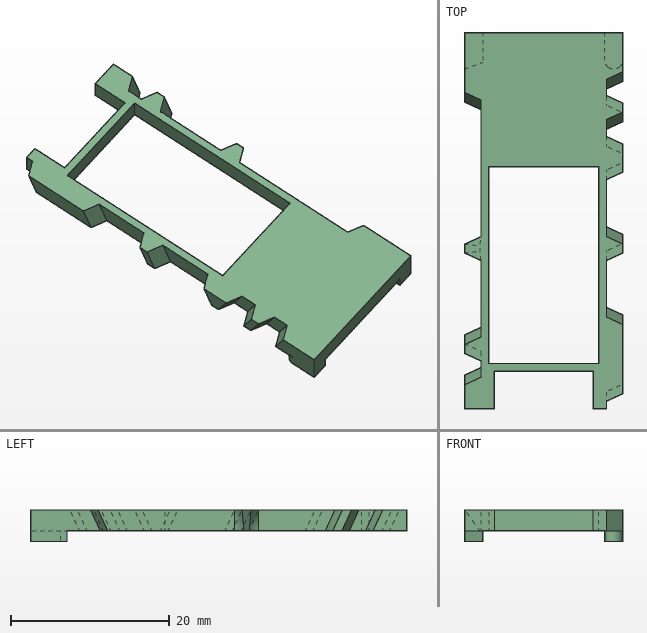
import cadquery as cq

width = 20.0
length = 47.6
height = 4.05
foot_height = 1.4
frame_height = height - foot_height

tooth_depth = 2.05
rail_wall = 1.0
window_low = 5.75
window_high = 30.6
notch_left = 3.75
notch_width = width - 2 * notch_left
notch_depth = 4.75

flank_spread = 0.95
lean = 1.25
tip_width = 1.15
middle_tooth_low = 19.7
fading_tip_depth = 0.15
fading_tip_narrowing = 0.25

foot_width = 2.3
foot_length = 4.6
foot_slant = 0.85


def box(x, y, z, size_x, size_y, size_z):
    """Box located by its lowest corner."""
    return cq.Workplane("XY").box(size_x, size_y, size_z, centered=False).translate((x, y, z))


def tooth_outline(low, high, depth, low_spread, high_spread):
    """Plan outline of a left-side tooth, from its tip to the rail face."""
    tip = tooth_depth - depth
    return [
        (tip, low),
        (tooth_depth, low - low_spread),
        (tooth_depth, high + high_spread),
        (tip, high),
    ]


def tooth_between(bottom, top):
    """Solid with straight faces joining the bottom and top outlines."""
    return (
        cq.Workplane("XY", origin=(0, 0, foot_height))
        .polyline(bottom).close()
        .workplane(offset=frame_height)
        .polyline(top).close()
        .loft(ruled=True)
    )


def leaning_tooth(low, high, low_lean, high_lean):
    """Tooth with leaning flanks; a side on an end of the frame stays square."""
    low_spread = flank_spread if low > 0 else 0
    high_spread = flank_spread if high < length else 0
    top = tooth_outline(low, high, tooth_depth, low_spread, high_spread)
    bottom = tooth_outline(low + low_lean, high + high_lean, tooth_depth, low_spread, high_spread)
    return tooth_between(bottom, top)


def fading_tooth():
    """Middle left tooth, whose tip recedes to the rail toward the bottom."""
    low = middle_tooth_low
    high = low + tip_width
    top = tooth_outline(low, high, tooth_depth, flank_spread, flank_spread)
    bottom = tooth_outline(
        low + fading_tip_narrowing,
        high - fading_tip_narrowing,
        fading_tip_depth,
        flank_spread + fading_tip_narrowing,
        flank_spread + fading_tip_narrowing,
    )
    return tooth_between(bottom, top)


def on_right(tooth):
    """Mirror a left-side tooth onto the right rail."""
    return tooth.mirror("YZ").translate((width, 0, 0))


frame = box(tooth_depth, 0, foot_height, width - 2 * tooth_depth, length, frame_height)
window_left = tooth_depth + rail_wall
window = box(
    window_left, window_low, foot_height,
    width - 2 * window_left, window_high - window_low, frame_height,
)
notch = box(notch_left, 0, foot_height, notch_width, notch_depth, frame_height)
frame = frame.cut(window).cut(notch)

left_teeth = [
    (0, 3.05, 0, lean),
    (7.0, 7.0 + tip_width, lean, lean),
    (40.05, length, -lean, 0),
]
right_teeth = [
    (1.9, 10.65, lean, lean),
    (middle_tooth_low, middle_tooth_low + tip_width, lean, lean),
    (29.95, 33.5, lean, -lean),
    (37.55, 37.55 + tip_width, -lean, -lean),
    (42.65, length, -lean, 0),
]
for tooth in left_teeth:
    frame = frame.union(leaning_tooth(*tooth))
for tooth in right_teeth:
    frame = frame.union(on_right(leaning_tooth(*tooth)))
frame = frame.union(fading_tooth())

foot_end = length - foot_length
left_foot = (
    cq.Workplane("XY")
    .moveTo(0, foot_end)
    .lineTo(foot_width, foot_end + foot_slant)
    .lineTo(foot_width, length)
    .lineTo(0, length)
    .close()
    .extrude(foot_height)
)
foot_radius = foot_width / 2
right_foot = (
    cq.Workplane("XY")
    .moveTo(width - foot_width, length)
    .lineTo(width - foot_width, foot_end + foot_radius)
    .threePointArc((width - foot_radius, foot_end), (width, foot_end + foot_radius))
    .lineTo(width, length)
    .close()
    .extrude(foot_height)
)

result = frame.union(left_foot).union(right_foot)